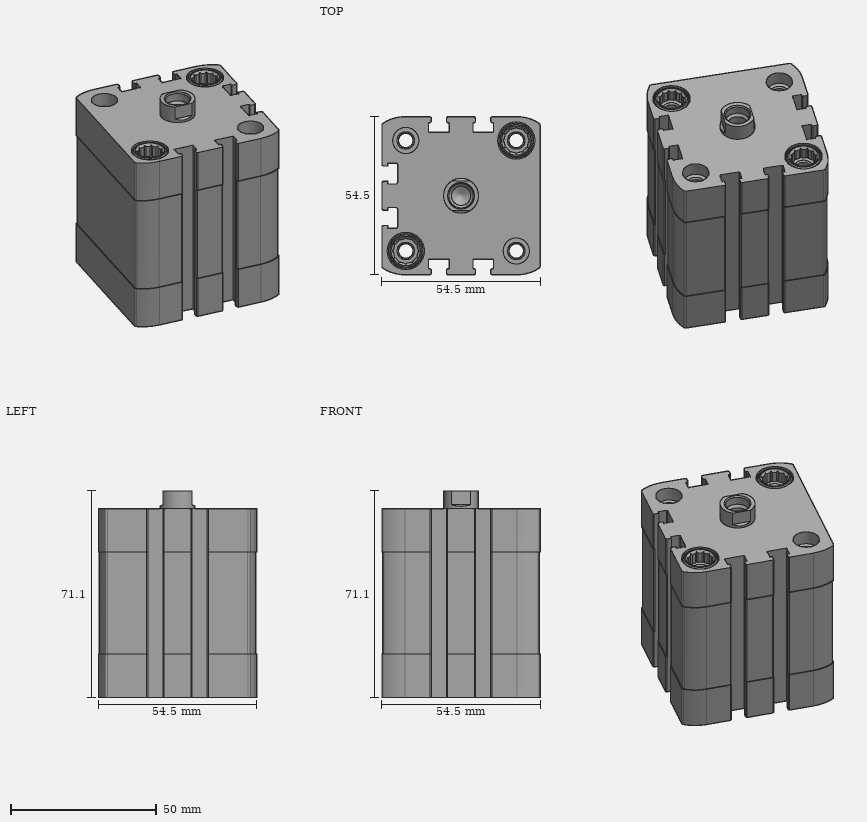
import cadquery as cq
import math

HOUSING_WIDTH = 54.5
HOUSING_HEIGHT = 65.0
CAP_HEIGHT = 15.0
BARREL_INSET = 0.3
CORNER_ARC_RADIUS = 14.0
CORNER_ARC_START = 19.2
CORNER_EDGE_RADIUS = 1.0

SLOT_OFFSET = 7.62
SLOT_DEPTH = 5.4
SLOT_NECK_WIDTH = 5.2
SLOT_INNER_WIDTH = 7.0
SIDE_LIP_THICKNESS = 2.2
LEFT_LIP_THICKNESS = 2.1
LIP_CHAMFER = 0.4
LEFT_FLOOR_CHAMFER = 0.3

HOLE_OFFSET = 19.0
THROUGH_DIAMETER = 4.92
HOLE_MOUTH_DIAMETER = 6.0
PLAIN_BORE_DIAMETER = 9.0
PLAIN_BORE_DEPTH = 5.0

GROOVE_OUTER_DIAMETER = 12.8
GROOVE_INNER_DIAMETER = 11.9
GROOVE_DEPTH = 1.0
RING_CHAMFER = 0.45
SOCKET_CONE_DIAMETER = 10.1
SOCKET_POINT_DIAMETER = 9.2
SOCKET_LAND_DIAMETER = 8.4
SOCKET_POINTS = 12
SOCKET_DEPTH = 4.8
SOCKET_CONE_HALF_ANGLE = 45.0

ROD_DIAMETER = 12.0
ROD_PROTRUSION = 6.1
ROD_EMBEDDED = 20.0
ROD_FLATS_WIDTH = 10.1
ROD_FLATS_LENGTH = 4.75
ROD_LEDGE_ANGLE = 30.0
ROD_MOUTH_DIAMETER = 9.2
ROD_BORE_DIAMETER = 8.4
ROD_BORE_DEPTH = 3.4
ROD_CORE_DIAMETER = 6.65
ROD_CORE_DEPTH = 14.0
COUNTERSINK_HALF_ANGLE = 40.0
STEP_HALF_ANGLE = 45.0
DRILL_HALF_ANGLE = 60.0

HALF_WIDTH = HOUSING_WIDTH / 2


def depth_of_cone(wide_diameter, narrow_diameter, half_angle):
    """Height of a cone between two diameters, its half angle measured from the axis."""
    return (wide_diameter - narrow_diameter) / 2 / math.tan(math.radians(half_angle))


def revolved(profile):
    """Solid turned about Z from (radius, z) points."""
    return cq.Workplane("XZ").polyline(profile).close().revolve(360, (0, 0), (0, 1))


def housing_section(inset, height):
    """Prism with flat sides and large-radius corners, shrunk by `inset` on every side."""
    half = HALF_WIDTH - inset
    radius = CORNER_ARC_RADIUS - inset
    reach = half - CORNER_ARC_START
    end_y = half - radius + math.sqrt(radius**2 - reach**2)
    mid_x = CORNER_ARC_START + reach / 2
    mid_y = half - radius + math.sqrt(radius**2 - (reach / 2) ** 2)
    prism = (
        cq.Workplane("XY")
        .moveTo(-CORNER_ARC_START, half)
        .lineTo(CORNER_ARC_START, half)
        .threePointArc((mid_x, mid_y), (half, end_y))
        .lineTo(half, -end_y)
        .threePointArc((mid_x, -mid_y), (CORNER_ARC_START, -half))
        .lineTo(-CORNER_ARC_START, -half)
        .threePointArc((-mid_x, -mid_y), (-half, -end_y))
        .lineTo(-half, end_y)
        .threePointArc((-mid_x, mid_y), (-CORNER_ARC_START, half))
        .close()
        .extrude(height)
    )
    corner_edges = cq.selectors.BoxSelector(
        (-half - 1, -end_y - 1, 0), (half + 1, end_y + 1, height)
    )
    return prism.edges("|Z").edges(corner_edges).fillet(CORNER_EDGE_RADIUS)


def slot_cutter(lip_thickness, inset, inner_chamfer, floor_chamfer, height):
    """T-slot in the +Y side, centred on X = 0, with a chamfered mouth where the side is `inset`."""
    neck = SLOT_NECK_WIDTH / 2
    inner = SLOT_INNER_WIDTH / 2
    face_y = HALF_WIDTH - inset
    lip_y = HALF_WIDTH - lip_thickness
    floor_y = HALF_WIDTH - SLOT_DEPTH
    right_side = [
        (neck + LIP_CHAMFER, HALF_WIDTH),
        (neck + LIP_CHAMFER, face_y),
        (neck, face_y - LIP_CHAMFER),
        (neck, lip_y + inner_chamfer),
        (neck + inner_chamfer, lip_y),
        (inner, lip_y),
        (inner, floor_y + floor_chamfer),
        (inner - floor_chamfer, floor_y),
    ]
    right_side = list(dict.fromkeys(right_side))
    left_side = [(-x, y) for x, y in reversed(right_side)]
    return cq.Workplane("XY").polyline(right_side + left_side).close().extrude(height)


def slotted_section(inset, height):
    """Length of the housing with its six T-slots."""
    section = housing_section(inset, height)
    side_slot = slot_cutter(SIDE_LIP_THICKNESS, inset, LIP_CHAMFER, 0, height)
    left_slot = slot_cutter(LEFT_LIP_THICKNESS, inset, 0, LEFT_FLOOR_CHAMFER, height)
    for offset in (-SLOT_OFFSET, SLOT_OFFSET):
        for slot, turn in ((side_slot, 0), (left_slot, 90), (side_slot, 180)):
            section = section.cut(slot.translate((offset, 0, 0)).rotate((0, 0, 0), (0, 0, 1), turn))
    return section


def through_hole_cutter(floor_z):
    """Hole up to a bore floor at `floor_z`, with a 45 degree chamfer at its mouth."""
    mouth = HOLE_MOUTH_DIAMETER / 2
    hole = THROUGH_DIAMETER / 2
    chamfer = mouth - hole
    return revolved([(0, 0), (hole, 0), (hole, floor_z - chamfer), (mouth, floor_z), (0, floor_z)])


def plain_hole_cutter():
    """Stepped hole: flat-bottomed bore, chamfered mouth, then a hole through the housing."""
    bore = PLAIN_BORE_DIAMETER / 2
    floor_z = HOUSING_HEIGHT - PLAIN_BORE_DEPTH
    bore_cut = cq.Workplane("XY", origin=(0, 0, floor_z)).circle(bore).extrude(PLAIN_BORE_DEPTH)
    return bore_cut.union(through_hole_cutter(floor_z))


def star_prism(depth):
    """Star of right-angled points, its valleys cleared to the land diameter."""
    points = []
    outer = SOCKET_POINT_DIAMETER / 2
    half_pitch = math.pi / SOCKET_POINTS
    valley = outer * math.sin(math.pi / 4) / math.sin(math.pi * 3 / 4 - half_pitch)
    for i in range(SOCKET_POINTS):
        for radius, angle in ((outer, 2 * i * half_pitch), (valley, (2 * i + 1) * half_pitch)):
            points.append((radius * math.cos(angle), radius * math.sin(angle)))
    star = cq.Workplane("XY").polyline(points).close().extrude(depth)
    return star.union(cq.Workplane("XY").circle(SOCKET_LAND_DIAMETER / 2).extrude(depth))


def socket_hole_cutter():
    """Groove around a chamfered ring, then a lead-in cone, a socket and the through hole."""
    top = HOUSING_HEIGHT
    groove_outer = GROOVE_OUTER_DIAMETER / 2
    groove_inner = GROOVE_INNER_DIAMETER / 2
    cone = SOCKET_CONE_DIAMETER / 2
    groove_z = top - GROOVE_DEPTH
    cone_tip_z = top - depth_of_cone(SOCKET_CONE_DIAMETER, 0, SOCKET_CONE_HALF_ANGLE)
    floor_z = top - SOCKET_DEPTH
    star_top_z = top - depth_of_cone(
        SOCKET_CONE_DIAMETER, SOCKET_POINT_DIAMETER, SOCKET_CONE_HALF_ANGLE
    )
    groove = revolved(
        [
            (groove_inner - RING_CHAMFER, top),
            (groove_inner, top - RING_CHAMFER),
            (groove_inner, groove_z),
            (groove_outer, groove_z),
            (groove_outer, top),
        ]
    )
    lead_in = revolved([(0, cone_tip_z), (cone, top), (0, top)])
    star = star_prism(star_top_z - floor_z).translate((0, 0, floor_z))
    return lead_in.union(star).union(through_hole_cutter(floor_z)).union(groove)


def make_housing():
    cap_top_z = HOUSING_HEIGHT - CAP_HEIGHT
    cap = slotted_section(0, CAP_HEIGHT)
    barrel = slotted_section(BARREL_INSET, cap_top_z - CAP_HEIGHT).translate((0, 0, CAP_HEIGHT))
    body = cap.union(barrel).union(cap.translate((0, 0, cap_top_z)))

    for side in (-1, 1):
        x = side * HOLE_OFFSET
        body = body.cut(plain_hole_cutter().translate((x, -x, 0)))
        body = body.cut(socket_hole_cutter().translate((x, x, 0)))

    rod_pocket = cq.Workplane("XY", origin=(0, 0, HOUSING_HEIGHT)).circle(ROD_DIAMETER / 2)
    return body.cut(rod_pocket.extrude(-ROD_EMBEDDED))


def rod_bore_cutter(top):
    mouth = ROD_MOUTH_DIAMETER / 2
    bore = ROD_BORE_DIAMETER / 2
    core = ROD_CORE_DIAMETER / 2
    mouth_z = top - depth_of_cone(ROD_MOUTH_DIAMETER, ROD_BORE_DIAMETER, COUNTERSINK_HALF_ANGLE)
    step_z = top - ROD_BORE_DEPTH
    core_top_z = step_z - depth_of_cone(ROD_BORE_DIAMETER, ROD_CORE_DIAMETER, STEP_HALF_ANGLE)
    core_end_z = top - ROD_CORE_DEPTH
    tip_z = core_end_z - depth_of_cone(ROD_CORE_DIAMETER, 0, DRILL_HALF_ANGLE)
    return revolved(
        [
            (0, tip_z),
            (core, core_end_z),
            (core, core_top_z),
            (bore, step_z),
            (bore, mouth_z),
            (mouth, top),
            (0, top),
        ]
    )


def flat_cutter(top):
    """Wrench flat on the +Y side, ending in a ledge that slopes down and outwards."""
    inner_y = ROD_FLATS_WIDTH / 2
    outer_y = ROD_DIAMETER / 2
    ledge_z = top - ROD_FLATS_LENGTH
    outer_z = ledge_z - (outer_y - inner_y) * math.tan(math.radians(ROD_LEDGE_ANGLE))
    profile = [(inner_y, top), (inner_y, ledge_z), (outer_y, outer_z), (outer_y, top)]
    return cq.Workplane("YZ").polyline(profile).close().extrude(ROD_DIAMETER / 2, both=True)


def make_rod():
    top = HOUSING_HEIGHT + ROD_PROTRUSION
    base = cq.Workplane("XY", origin=(0, 0, HOUSING_HEIGHT - ROD_EMBEDDED))
    rod = base.circle(ROD_DIAMETER / 2).extrude(ROD_EMBEDDED + ROD_PROTRUSION)
    for turn in (0, 180):
        rod = rod.cut(flat_cutter(top).rotate((0, 0, 0), (0, 0, 1), turn))
    return rod.cut(rod_bore_cutter(top))


housing = make_housing()
rod = make_rod()
result = cq.Compound.makeCompound([housing.val(), rod.val()])